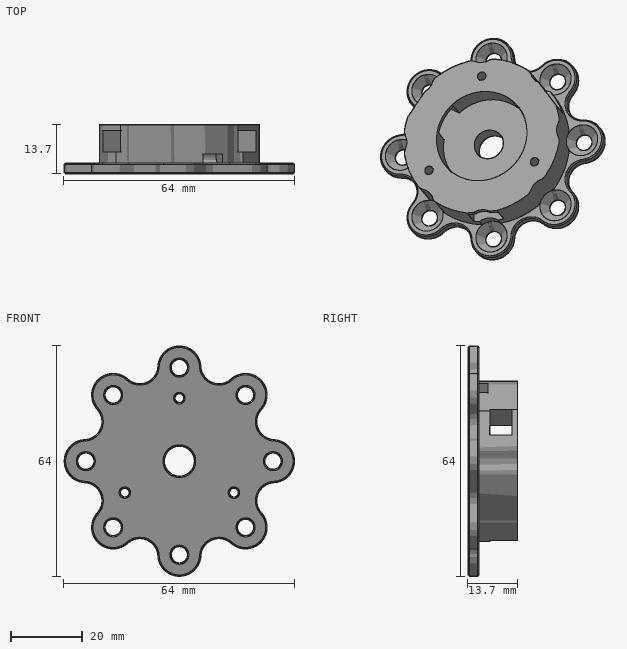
import cadquery as cq
import math

lobe_count = 8
lobe_circle_radius = 26.0
lobe_radius = 6.0
valley_radius = 5.0
plate_thickness = 3.0
edge_chamfer = 0.4

lobe_hole_diameter = 4.5
center_hole_diameter = 8.3
screw_hole_diameter = 2.4
screw_circle_radius = 17.5
screw_angles = (90.0, 210.0, 330.0)

total_depth = 13.7
boss_radius = 22.5
groove_radius = 4.5
groove_blend_radius = 3.0

cavity_radius = 13.0
cavity_floor = 6.0
slot_angles = (30.0, 150.0, 270.0)
slot_width = 8.6
slot_top = 12.1

pocket_angle = 65.4
pocket_width = 6.0
pocket_height = 2.5
pocket_bottom_radius = 18.0
pocket_fillet = 1.5

tool_reach = boss_radius + 3.0

lobe_step = 360.0 / lobe_count
lobe_angles = [i * lobe_step for i in range(lobe_count)]


def polar(radius, angle):
    """X, Z position at a radius and an angle in degrees, measured from +X toward +Z."""
    return (radius * math.cos(math.radians(angle)), radius * math.sin(math.radians(angle)))


def plane_at(y):
    """Sketch plane facing the front at depth y; its extrusions go back when negative."""
    return cq.Workplane("XZ", origin=(0, y, 0))


def solid_between(sketch, y_start, y_end):
    """Extrude a sketch drawn at y_start to y_end."""
    return sketch.extrude(y_start - y_end)


def make_plate():
    """Chamfered plate whose round lobes are joined by tangent concave arcs."""
    half_step = lobe_step / 2
    lobe_along = lobe_circle_radius * math.cos(math.radians(half_step))
    lobe_across = lobe_circle_radius * math.sin(math.radians(half_step))
    centers_distance = lobe_radius + valley_radius
    valley_center = lobe_along + math.sqrt(centers_distance**2 - lobe_across**2)
    valley_bottom = valley_center - valley_radius

    share = lobe_radius / centers_distance
    tangent_along = lobe_along + share * (valley_center - lobe_along)
    tangent_across = lobe_across * (1 - share)
    tangent_radius = math.hypot(tangent_along, tangent_across)
    tangent_angle = math.degrees(math.atan2(tangent_across, tangent_along))

    outline = plane_at(0).moveTo(*polar(tangent_radius, -half_step + tangent_angle))
    for angle in lobe_angles:
        valley_angle = angle + half_step
        lobe_tip = polar(lobe_circle_radius + lobe_radius, angle)
        outline = outline.threePointArc(lobe_tip, polar(tangent_radius, valley_angle - tangent_angle))
        valley_end = polar(tangent_radius, valley_angle + tangent_angle)
        outline = outline.threePointArc(polar(valley_bottom, valley_angle), valley_end)
    plate = solid_between(outline.close(), 0, plate_thickness)
    return plate.faces("<Y or >Y").chamfer(edge_chamfer)


def groove_edge_angle():
    """Angle between the axis of a groove and the edge where it leaves the boss wall."""
    cosine = (boss_radius**2 + lobe_circle_radius**2 - groove_radius**2) / (
        2 * boss_radius * lobe_circle_radius
    )
    return math.degrees(math.acos(cosine))


def edge_crosses_slot(angle):
    """True where a lengthwise edge of the boss wall would be interrupted by a slot."""
    for slot_angle in slot_angles:
        offset = math.radians(angle - slot_angle)
        if math.cos(offset) > 0 and abs(boss_radius * math.sin(offset)) < slot_width / 2:
            return True
    return False


def make_boss():
    """Grooved boss; the groove edges are rounded wherever no slot interrupts them."""
    boss = solid_between(plane_at(plate_thickness).circle(boss_radius), plate_thickness, total_depth)
    groove_centers = [polar(lobe_circle_radius, angle) for angle in lobe_angles]
    grooves = plane_at(plate_thickness).pushPoints(groove_centers).circle(groove_radius)
    boss = boss.cut(solid_between(grooves, plate_thickness, total_depth))

    middle = (plate_thickness + total_depth) / 2
    rounded_edges = []
    for angle in lobe_angles:
        for edge_angle in (angle - groove_edge_angle(), angle + groove_edge_angle()):
            if not edge_crosses_slot(edge_angle):
                x, z = polar(boss_radius, edge_angle)
                edge = boss.edges("|Y").edges(cq.selectors.NearestToPointSelector((x, middle, z)))
                rounded_edges.append(edge.val())
    return boss.newObject(rounded_edges).fillet(groove_blend_radius)


def slot_corner_distance(slot_angle, side):
    """Distance along a slot at which one of its side walls (side +1 or -1) meets the boss wall."""
    wall = side * slot_width / 2
    distances = [math.sqrt(boss_radius**2 - wall**2)]
    for angle in lobe_angles:
        along, across = polar(lobe_circle_radius, angle - slot_angle)
        if along > 0 and abs(across - wall) < groove_radius:
            distances.append(along - math.sqrt(groove_radius**2 - (across - wall) ** 2))
    return min(distances)


def make_slot(slot_angle):
    """Radial slot into the cavity; the lip behind it is trimmed flat between the slot corners."""
    half = slot_width / 2
    opening = plane_at(cavity_floor).moveTo(tool_reach / 2, 0).rect(tool_reach, slot_width)
    opening = solid_between(opening, cavity_floor, slot_top)
    lip_trim = plane_at(slot_top).polyline(
        [
            (slot_corner_distance(slot_angle, -1), -half),
            (tool_reach, -half),
            (tool_reach, half),
            (slot_corner_distance(slot_angle, 1), half),
        ]
    )
    lip_trim = solid_between(lip_trim.close(), slot_top, total_depth)
    return opening.union(lip_trim).rotate((0, 0, 0), (0, -1, 0), slot_angle)


def make_pocket():
    """Pocket in the boss wall with a rounded corner where its bottom meets the plate."""
    length = tool_reach - pocket_bottom_radius
    pocket = cq.Workplane("XY").box(length, pocket_height, pocket_width, centered=(False, False, True))
    pocket = pocket.edges("<X and <Y").fillet(pocket_fillet)
    pocket = pocket.translate((pocket_bottom_radius, plate_thickness, 0))
    return pocket.rotate((0, 0, 0), (0, -1, 0), pocket_angle)


def make_countersink(center):
    """45 degree countersink that reaches the groove radius at the back of the plate."""
    hole_radius = lobe_hole_diameter / 2
    cone_depth = groove_radius - hole_radius
    cone = cq.Solid.makeCone(
        hole_radius,
        groove_radius,
        cone_depth,
        pnt=cq.Vector(center[0], plate_thickness - cone_depth, center[1]),
        dir=cq.Vector(0, 1, 0),
    )
    return cq.Workplane(cone)


def make_hole(diameter, center):
    """Hole tool through the whole part, countersunk by the edge chamfer at the front."""
    hole = solid_between(plane_at(0).moveTo(*center).circle(diameter / 2), 0, total_depth)
    mouth = cq.Solid.makeCone(
        diameter / 2 + edge_chamfer,
        diameter / 2,
        edge_chamfer,
        pnt=cq.Vector(center[0], 0, center[1]),
        dir=cq.Vector(0, 1, 0),
    )
    return hole.union(cq.Workplane(mouth))


result = make_plate().union(make_boss())
cavity = plane_at(cavity_floor).circle(cavity_radius)
result = result.cut(solid_between(cavity, cavity_floor, total_depth))
for slot_angle in slot_angles:
    result = result.cut(make_slot(slot_angle))
result = result.cut(make_pocket())
result = result.cut(make_hole(center_hole_diameter, (0, 0)))
for screw_angle in screw_angles:
    result = result.cut(make_hole(screw_hole_diameter, polar(screw_circle_radius, screw_angle)))
for lobe_angle in lobe_angles:
    lobe_center = polar(lobe_circle_radius, lobe_angle)
    result = result.cut(make_hole(lobe_hole_diameter, lobe_center))
    result = result.cut(make_countersink(lobe_center))